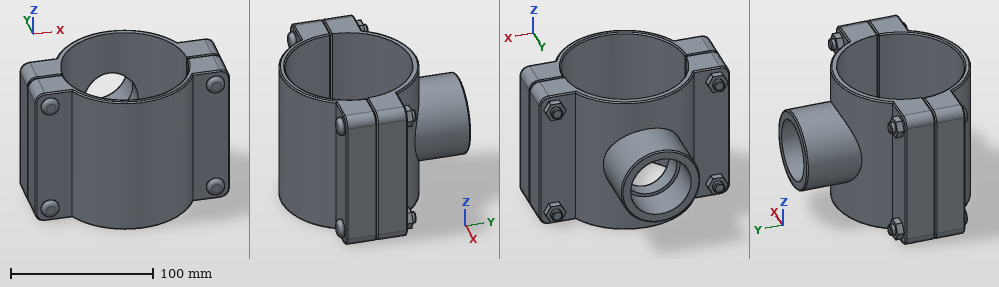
import cadquery as cq
import math

width = 141.0
height = 105.0
bore_radius = 45.0
ring_radius = 49.4
flange_thickness = 22.4
flange_corner_radius = 7.0
edge_chamfer = 1.0

branch_end = 81.0
branch_diameter = 58.2
socket_diameter = 44.8
socket_depth = 25.0
outlet_diameter = 40.0

bolt_spacing_x = 120.1
bolt_spacing_z = 84.0
bolt_diameter = 8.0
bolt_end = 30.7
bolt_end_chamfer = 0.8
head_diameter = 13.0
head_height = 4.0
head_rounding = 3.1
nut_across_flats = 13.0
nut_height = 5.0


def rod_along_y(diameter, start, end):
    """Cylinder on the Y axis from Y = start to Y = end."""
    return cq.Workplane("XZ", origin=(0, start, 0)).circle(diameter / 2).extrude(start - end)


def make_blank_half():
    """The -Y half without its bore: a flange plate joined to half of the ring."""
    plate = cq.Workplane("XY").box(width, flange_thickness, height, centered=(True, False, True))
    plate = plate.translate((0, -flange_thickness, 0))
    plate = plate.edges("|Y").fillet(flange_corner_radius)
    plate = plate.faces("<Y").chamfer(edge_chamfer)

    ring = cq.Workplane("XY").circle(ring_radius).extrude(height / 2, both=True)
    ring = ring.edges("%CIRCLE").chamfer(edge_chamfer)
    half_space = cq.Workplane("XY").box(width, ring_radius, height).translate((0, -ring_radius / 2, 0))
    return plate.union(ring.intersect(half_space))


def make_bore():
    return cq.Workplane("XY").circle(bore_radius).extrude(height / 2, both=True)


def make_flared_bore():
    """Bore that widens at both ends, which chamfers the rims it is cut through."""
    flare_radius = bore_radius + edge_chamfer
    profile = [
        (0, -height / 2),
        (flare_radius, -height / 2),
        (bore_radius, -height / 2 + edge_chamfer),
        (bore_radius, height / 2 - edge_chamfer),
        (flare_radius, height / 2),
        (0, height / 2),
    ]
    return cq.Workplane("XZ").polyline(profile).close().revolve(360, (0, 0), (0, 1))


def make_plain_half():
    """The -Y half, chamfered around its mating faces."""
    half = make_blank_half().cut(make_flared_bore())
    return half.faces(">Y").chamfer(edge_chamfer)


def make_branch_half():
    """The +Y half, with the branch and its stepped passage into the bore."""
    half = make_blank_half().mirror("XZ").cut(make_bore())
    half = half.faces("<Y").chamfer(edge_chamfer)

    branch = rod_along_y(branch_diameter, 0, branch_end)
    branch = branch.faces(">Y").chamfer(edge_chamfer)
    outlet = rod_along_y(outlet_diameter, 0, branch_end)
    socket = rod_along_y(socket_diameter, branch_end - socket_depth, branch_end)
    return half.union(branch.cut(make_bore())).cut(outlet).cut(socket)


def make_bolt():
    """One bolt on the Y axis with its head and nut against the flange faces."""
    head = rod_along_y(head_diameter, -flange_thickness - head_height, -flange_thickness)
    head = head.faces("<Y").edges().fillet(head_rounding)

    shank = rod_along_y(bolt_diameter, -flange_thickness, bolt_end)
    shank = shank.faces(">Y").chamfer(bolt_end_chamfer)

    nut_across_corners = nut_across_flats / math.cos(math.pi / 6)
    nut = cq.Workplane("XZ", origin=(0, flange_thickness, 0))
    nut = nut.polygon(6, nut_across_corners).extrude(-nut_height)
    return shank.union(head).union(nut)


result = make_plain_half().union(make_branch_half())

bolt = make_bolt()
for x in (-bolt_spacing_x / 2, bolt_spacing_x / 2):
    for z in (-bolt_spacing_z / 2, bolt_spacing_z / 2):
        result = result.union(bolt.translate((x, 0, z)))